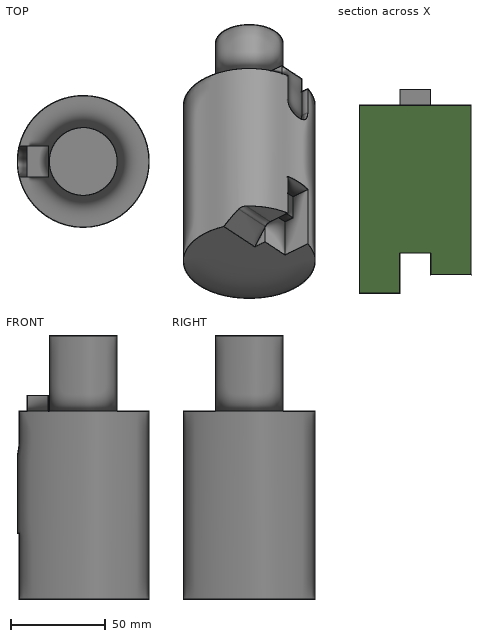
import cadquery as cq
import math

total_height = 140.0
housing_height = 100.0
housing_radius = 70.0 / 2
shaft_radius = 36.0 / 2

key_width = 16.2
key_outer_x = -29.8
key_inner_x = -18.5
key_top_z = 108.2
key_bottom_z = 76.5

slot_width = key_width
slot_height = 35.0
slot_floor_x = -23.7
deep_slot_height = 21.4
deep_slot_floor_x = -18.0

relief_height = 11.3
relief_foot_x = -10.9
relief_angle = 52.5
relief_corner_radius = 4.2


def slab(outer_x, inner_x, width, bottom_z, top_z):
    """Block between two X planes, centred on Y = 0."""
    return (
        cq.Workplane("XY", origin=(outer_x, 0, bottom_z))
        .box(inner_x - outer_x, width, top_z - bottom_z, centered=(False, True, False))
    )


def round_ended_bar(outer_x, inner_x, top_z):
    """Upright bar, square at the top and with a half-round lower end."""
    half_width = key_width / 2
    arc_center_z = key_bottom_z + half_width
    return (
        cq.Workplane("YZ", origin=(outer_x, 0, 0))
        .moveTo(-half_width, top_z)
        .lineTo(-half_width, arc_center_z)
        .threePointArc((0, key_bottom_z), (half_width, arc_center_z))
        .lineTo(half_width, top_z)
        .close()
        .extrude(inner_x - outer_x)
    )


def side_relief():
    """Cutter with a level ceiling and a sloping inner face, rounded where they meet."""
    slope_run = relief_height / math.tan(math.radians(relief_angle))
    ceiling_inner_x = relief_foot_x - slope_run
    inner_corner = (ceiling_inner_x, slot_width, relief_height)
    relief_length = housing_radius - slot_width / 2
    return (
        cq.Workplane("XZ", origin=(0, housing_radius, 0))
        .moveTo(-housing_radius, 0)
        .lineTo(relief_foot_x, 0)
        .lineTo(ceiling_inner_x, relief_height)
        .lineTo(-housing_radius, relief_height)
        .close()
        .extrude(relief_length)
        .edges(cq.selectors.NearestToPointSelector(inner_corner))
        .fillet(relief_corner_radius)
    )


def make_housing():
    body = cq.Workplane("XY").circle(housing_radius).extrude(housing_height)
    key_groove = round_ended_bar(-housing_radius, key_inner_x, housing_height)
    slot = slab(-housing_radius, slot_floor_x, slot_width, 0, slot_height)
    deep_slot = slab(-housing_radius, deep_slot_floor_x, slot_width, 0, deep_slot_height)
    return body.cut(key_groove).cut(slot).cut(deep_slot).cut(side_relief())


def make_shaft():
    """Plain shaft standing on the top face of the housing."""
    shaft_length = total_height - housing_height
    return cq.Workplane("XY").workplane(offset=housing_height).circle(shaft_radius).extrude(shaft_length)


def make_key():
    return round_ended_bar(key_outer_x, key_inner_x, key_top_z)


housing = make_housing()
shaft = make_shaft()
key = make_key()

result = cq.Compound.makeCompound([housing.val(), shaft.val(), key.val()])